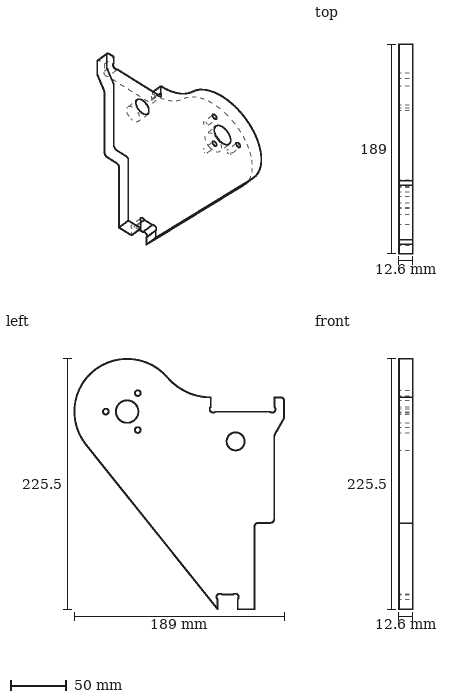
import cadquery as cq
import math

thickness = 12.6
total_width = 189.0
total_height = 225.5
hub_radius = 47.5

bottom = hub_radius - total_height
shoulder_height = 12.8
notch_floor = 0.0
step_height = -100.3
hook_slope_end = -21.2
hook_slope_angle = 60.0
slot_depth = 13.0

notch_start = 75.3
body_edge = 132.5
hook_edge = total_width - hub_radius
foot_edge = 114.7
slot_start = 81.4
slot_width = 18.0

hook_fillet = 3.0
hook_slope_fillet = 6.8
step_inner_fillet = 3.0
step_outer_fillet = 4.0
relief_radius = 3.0

hub_bore = 20.0
screw_hole = 5.0
screw_circle_radius = 19.2
screw_count = 3
pivot_hole = 16.0
pivot_position = (97.5, -26.8)

profile_plane = cq.Plane(origin=(thickness / 2, 0, 0), xDir=(0, -1, 0), normal=(-1, 0, 0))


def polar(radius, angle, center=(0, 0)):
    return (center[0] + radius * math.cos(angle), center[1] + radius * math.sin(angle))


def cylinder(center, radius):
    return cq.Workplane(profile_plane).center(*center).circle(radius).extrude(thickness)


def edge_at(point):
    """Box selector around the through-thickness edge at a profile point."""
    across, height = point
    reach = 0.2
    return cq.selectors.BoxSelector(
        (-thickness, -across - reach, height - reach),
        (thickness, -across + reach, height + reach),
    )


def make_plate():
    neck_radius = (notch_start**2 + shoulder_height**2 - hub_radius**2) / (
        2 * (hub_radius - shoulder_height)
    )
    neck_center = (notch_start, shoulder_height + neck_radius)
    neck_angle = math.atan2(neck_center[1], neck_center[0])
    neck_start = polar(hub_radius, neck_angle)
    neck_mid_angle = (neck_angle + math.pi + 1.5 * math.pi) / 2
    neck_mid = polar(neck_radius, neck_mid_angle, neck_center)

    tip = (slot_start, bottom)
    tangent_angle = math.atan2(tip[1], tip[0]) - math.acos(hub_radius / math.hypot(*tip))
    tangent_point = polar(hub_radius, tangent_angle)
    hub_mid = polar(hub_radius, (tangent_angle + 2 * math.pi + neck_angle) / 2)

    slot_end = slot_start + slot_width
    slot_top = bottom + slot_depth
    hook_slope_start = hook_slope_end + (hook_edge - body_edge) * math.tan(math.radians(hook_slope_angle))

    plate = (
        cq.Workplane(profile_plane)
        .moveTo(*tangent_point)
        .threePointArc(hub_mid, neck_start)
        .threePointArc(neck_mid, (notch_start, shoulder_height))
        .lineTo(notch_start, notch_floor)
        .lineTo(body_edge, notch_floor)
        .lineTo(body_edge, shoulder_height)
        .lineTo(hook_edge, shoulder_height)
        .lineTo(hook_edge, hook_slope_start)
        .lineTo(body_edge, hook_slope_end)
        .lineTo(body_edge, step_height)
        .lineTo(foot_edge, step_height)
        .lineTo(foot_edge, bottom)
        .lineTo(slot_end, bottom)
        .lineTo(slot_end, slot_top)
        .lineTo(slot_start, slot_top)
        .lineTo(*tip)
        .close()
        .extrude(thickness)
    )
    plate = plate.edges(edge_at((hook_edge, shoulder_height))).fillet(hook_fillet)
    for corner in [(hook_edge, hook_slope_start), (body_edge, hook_slope_end)]:
        plate = plate.edges(edge_at(corner)).fillet(hook_slope_fillet)
    plate = plate.edges(edge_at((body_edge, step_height))).fillet(step_outer_fillet)
    plate = plate.edges(edge_at((foot_edge, step_height))).fillet(step_inner_fillet)

    inset = relief_radius / math.sqrt(2)
    relief_centers = [
        (notch_start + inset, notch_floor + inset),
        (body_edge - inset, notch_floor + inset),
        (slot_start + inset, slot_top - inset),
        (slot_end - inset, slot_top - inset),
    ]
    for center in relief_centers:
        plate = plate.cut(cylinder(center, relief_radius))
    return plate


def cut_holes(plate):
    plate = plate.cut(cylinder((0, 0), hub_bore / 2))
    plate = plate.cut(cylinder(pivot_position, pivot_hole / 2))
    for index in range(screw_count):
        angle = math.pi + index * 2 * math.pi / screw_count
        plate = plate.cut(cylinder(polar(screw_circle_radius, angle), screw_hole / 2))
    return plate


result = cut_holes(make_plate())